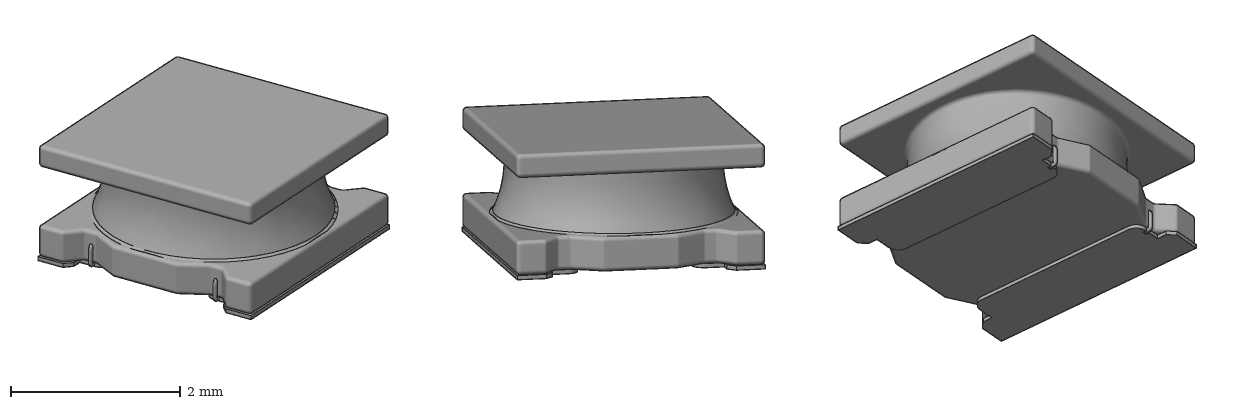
import cadquery as cq
import math

side = 3.0
height = 1.5
edge_radius = 0.05
terminal_thickness = 0.05
lower_flange_top = 0.462
upper_flange_bottom = 1.22

notch_depth = 0.195
notch_outer_x = 1.15
notch_inner_x = 0.45
notch_floor_inner_x = 0.81
notch_floor_outer_x = 0.963

waist_radius = 1.3
waist_mid_radius = 1.317
waist_mid_z = 0.83
base_radius = 1.43
base_z = 0.485
foot_radius = 1.467
foot_bulge = 0.0045

terminal_inner_x = 0.693
terminal_notch_x = 1.055
terminal_notch_depth = 0.225
terminal_corner_radius = 0.15

wire_diameter = 0.05
wire_x = 0.875
wire_y = 1.317
wire_bend_z = 0.22
wire_top_bend = 0.075
wire_foot_bend = 0.03
wire_top_leg = 0.045
wire_foot_leg = 0.06

half = side / 2
wire_radius = wire_diameter / 2
notch_floor_y = half - notch_depth
flat_half = half - edge_radius


def notched_outline():
    """Outline of the lower flange, with two notches in the front and two in the back."""
    right_front = [
        (notch_inner_x, -half),
        (notch_floor_inner_x, -notch_floor_y),
        (notch_floor_outer_x, -notch_floor_y),
        (notch_outer_x, -half),
        (half, -half),
    ]
    right_back = [(x, -y) for x, y in reversed(right_front)]
    right = right_front + right_back
    left = [(-x, y) for x, y in reversed(right)]
    return right + left


def make_lower_flange():
    """Notched flange with every edge rounded."""
    return (
        cq.Workplane("XY")
        .workplane(offset=terminal_thickness)
        .polyline(notched_outline())
        .close()
        .extrude(lower_flange_top - terminal_thickness)
        .edges()
        .fillet(edge_radius)
    )


def make_upper_flange():
    """Square flange with every edge rounded."""
    return (
        cq.Workplane("XY")
        .workplane(offset=upper_flange_bottom)
        .rect(side, side)
        .extrude(height - upper_flange_bottom)
        .edges()
        .fillet(edge_radius)
    )


def make_waist():
    """Round waist flared onto both flanges, kept inside the flat top of the lower flange."""
    flare_z = upper_flange_bottom - edge_radius
    flare_shift = edge_radius * (1 - math.sqrt(0.5))
    foot_mid = (
        (base_radius + foot_radius) / 2 - foot_bulge,
        (base_z + lower_flange_top) / 2 - foot_bulge,
    )
    waist = (
        cq.Workplane("XZ")
        .moveTo(0, lower_flange_top)
        .lineTo(foot_radius, lower_flange_top)
        .threePointArc(foot_mid, (base_radius, base_z))
        .threePointArc((waist_mid_radius, waist_mid_z), (waist_radius, flare_z))
        .threePointArc(
            (waist_radius + flare_shift, upper_flange_bottom - flare_shift),
            (waist_radius + edge_radius, upper_flange_bottom),
        )
        .lineTo(0, upper_flange_bottom)
        .close()
        .revolve(360, (0, 0, 0), (0, 1, 0))
    )
    flat_top = cq.Workplane("XY").box(2 * flat_half, 2 * flat_half, 2 * height)
    return waist.intersect(flat_top)


def make_core():
    """Drum core: lower flange, waist and upper flange in one piece."""
    return make_lower_flange().union(make_waist()).union(make_upper_flange())


def make_wire(x_sign):
    """Wire end: from the terminal, up the front notch floor, and into the core."""
    inward = cq.Vector(0, 1, 0)
    up = cq.Vector(0, 0, 1)
    diagonal = math.sqrt(0.5)

    foot_axis = cq.Vector(x_sign * wire_x, -wire_y, wire_radius)
    upright_start = foot_axis + up * wire_foot_bend
    foot_centre = upright_start + inward * wire_foot_bend
    foot_mid = foot_centre - (inward + up) * (wire_foot_bend * diagonal)
    foot_bend_end = foot_centre - up * wire_foot_bend
    foot_end = foot_bend_end + inward * wire_foot_leg

    upright_end = cq.Vector(x_sign * wire_x, -wire_y, wire_bend_z)
    top_centre = upright_end + inward * wire_top_bend
    top_mid = top_centre + (up - inward) * (wire_top_bend * diagonal)
    top_bend_end = top_centre + up * wire_top_bend
    top_end = top_bend_end + inward * wire_top_leg

    path = cq.Wire.assembleEdges([
        cq.Edge.makeLine(foot_end, foot_bend_end),
        cq.Edge.makeThreePointArc(foot_bend_end, foot_mid, upright_start),
        cq.Edge.makeLine(upright_start, upright_end),
        cq.Edge.makeThreePointArc(upright_end, top_mid, top_bend_end),
        cq.Edge.makeLine(top_bend_end, top_end),
    ])
    section_plane = cq.Plane(origin=foot_end.toTuple(), normal=(inward * -1).toTuple())
    return cq.Workplane(section_plane).circle(wire_radius).sweep(cq.Workplane(path))


def make_wire_slot(x_sign):
    """Slot through the terminal that receives the foot of a wire."""
    length = wire_foot_bend + wire_foot_leg
    return (
        cq.Workplane("XY")
        .box(wire_diameter, length + wire_radius, terminal_thickness, centered=(True, False, False))
        .translate((x_sign * wire_x, -wire_y - wire_radius, 0))
    )


def make_terminal(x_sign):
    """Flat terminal under one side of the core, cut back below the notches."""
    cut_y = half - terminal_notch_depth
    chamfer_end_y = half - (notch_outer_x - terminal_notch_x)
    front = [
        (terminal_inner_x, -cut_y),
        (terminal_notch_x, -cut_y),
        (terminal_notch_x, -chamfer_end_y),
        (notch_outer_x, -half),
        (half, -half),
    ]
    back = [(x, -y) for x, y in reversed(front)]
    outline = [(x_sign * x, y) for x, y in front + back]
    plate = cq.Workplane("XY").polyline(outline).close().extrude(terminal_thickness)
    inner_corners = plate.edges("|Z").edges("<X" if x_sign > 0 else ">X")
    return inner_corners.fillet(terminal_corner_radius).cut(make_wire_slot(x_sign))


core = make_core()
wires = []
terminals = []
for x_sign in (-1, 1):
    wire = make_wire(x_sign)
    core = core.cut(wire)
    wires.append(wire)
    terminals.append(make_terminal(x_sign))

result = cq.Compound.makeCompound([
    core.solids().val(),
    *[terminal.solids().val() for terminal in terminals],
    *[wire.solids().val() for wire in wires],
])